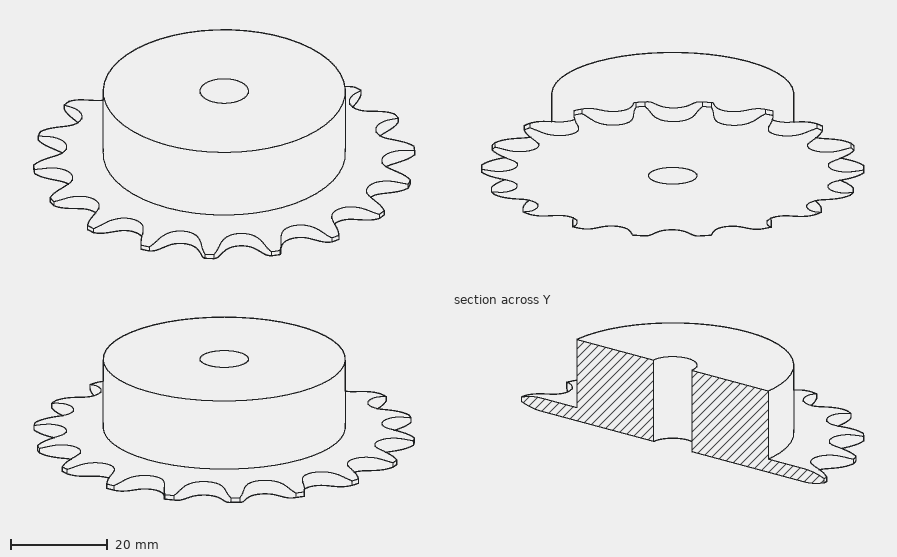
import cadquery as cq
import math

tooth_count = 18
chain_pitch = 12.7
roller_diameter = 7.75
tip_diameter = 78.9

plate_thickness = 3.0
hub_diameter = 50.0
total_height = 18.0
bore_diameter = 10.0

relief_depth = 5.1
relief_radius = 13.5

tooth_step = 360.0 / tooth_count
pitch_radius = chain_pitch / (2 * math.sin(math.pi / tooth_count))
tip_radius = tip_diameter / 2
relief_start_radius = tip_radius - relief_depth
relief_width = relief_radius - math.sqrt(relief_radius**2 - relief_depth**2)

form_clearance = 0.038
seating_radius = 0.5025 * roller_diameter + form_clearance
working_radius = 1.3025 * roller_diameter + form_clearance
seating_angle = 55 - 60 / tooth_count
working_angle = 18 - 56 / tooth_count
topping_angle = 17 - 64 / tooth_count
flank_length = roller_diameter * (
    1.4 * math.sin(math.radians(topping_angle)) - 0.8 * math.sin(math.radians(working_angle))
)
topping_radius = roller_diameter * (
    0.8 * math.cos(math.radians(working_angle)) + 1.4 * math.cos(math.radians(topping_angle)) - 1.3025
) - form_clearance
topping_sweep = 30.0

cutter_margin = 3.0


def polar(center, radius, angle):
    """Point at a distance and angle (degrees from +X) from a center."""
    turn = math.radians(angle)
    return (center[0] + radius * math.cos(turn), center[1] + radius * math.sin(turn))


def mirrored(point):
    """The same point on the other side of the gap's center line."""
    return (point[0], -point[1])


def gap_cutter():
    """Space between two teeth, centered on the +X axis."""
    seat_end_normal = 180 - seating_angle
    flank_normal = seat_end_normal - working_angle
    topping_end_normal = flank_normal + topping_sweep

    seat_center = (pitch_radius, 0)
    seat_bottom = polar(seat_center, seating_radius, 180)
    seat_end = polar(seat_center, seating_radius, seat_end_normal)

    working_center = polar(seat_end, -working_radius, seat_end_normal)
    working_middle = polar(working_center, working_radius, seat_end_normal - working_angle / 2)
    working_end = polar(working_center, working_radius, flank_normal)

    flank_end = polar(working_end, flank_length, flank_normal - 90)

    topping_center = polar(flank_end, topping_radius, flank_normal)
    topping_middle = polar(topping_center, -topping_radius, flank_normal + topping_sweep / 2)
    topping_end = polar(topping_center, -topping_radius, topping_end_normal)

    outer_corner = (tip_radius + cutter_margin, topping_end[1])
    return (
        cq.Workplane("XY")
        .moveTo(*outer_corner)
        .lineTo(*topping_end)
        .threePointArc(topping_middle, flank_end)
        .lineTo(*working_end)
        .threePointArc(working_middle, seat_end)
        .threePointArc(seat_bottom, mirrored(seat_end))
        .threePointArc(mirrored(working_middle), mirrored(working_end))
        .lineTo(*mirrored(flank_end))
        .threePointArc(mirrored(topping_middle), mirrored(topping_end))
        .lineTo(*mirrored(outer_corner))
        .close()
        .extrude(plate_thickness)
    )


def plate_blank():
    """Disc turned with the rounded relief on both faces of its rim."""
    middle_angle = math.degrees(math.asin(relief_depth / relief_radius)) / 2
    lower_center = (relief_start_radius, relief_radius)
    upper_center = (relief_start_radius, plate_thickness - relief_radius)
    lower_middle = polar(lower_center, relief_radius, middle_angle - 90)
    upper_middle = polar(upper_center, relief_radius, 90 - middle_angle)
    return (
        cq.Workplane("XZ")
        .moveTo(0, 0)
        .lineTo(relief_start_radius, 0)
        .threePointArc(lower_middle, (tip_radius, relief_width))
        .lineTo(tip_radius, plate_thickness - relief_width)
        .threePointArc(upper_middle, (relief_start_radius, plate_thickness))
        .lineTo(0, plate_thickness)
        .close()
        .revolve(360, (0, 0, 0), (0, 1, 0))
    )


def toothed_plate():
    plate = plate_blank()
    cutter = gap_cutter()
    for index in range(tooth_count):
        gap_angle = (index + 0.5) * tooth_step
        plate = plate.cut(cutter.rotate((0, 0, 0), (0, 0, 1), gap_angle))
    return plate


def hub():
    hub_height = total_height - plate_thickness
    return cq.Workplane("XY").workplane(offset=plate_thickness).circle(hub_diameter / 2).extrude(hub_height)


def bore():
    return cq.Workplane("XY").circle(bore_diameter / 2).extrude(total_height)


result = toothed_plate().union(hub()).cut(bore())